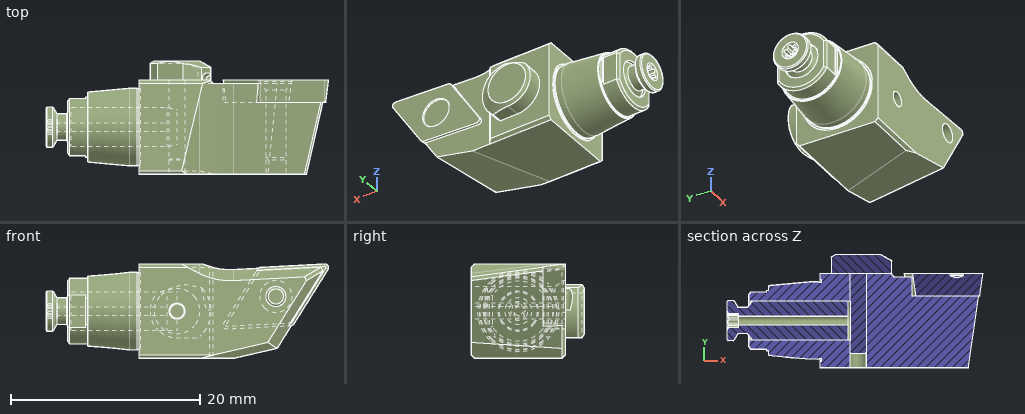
import cadquery as cq
import math


BLOCK_SIZE = 10.0
BLOCK_LENGTH = 22.0
HALF = BLOCK_SIZE / 2
EDGE_CHAMFER = 0.37
CLEARANCE = 7.0
TRIM = 60.0

INSERT_ANGLE = 55.0
INSERT_TILT = 3.0
INSCRIBED_RADIUS = 6.35 / 2
INSERT_THICKNESS = 2.38
NOSE_RADIUS = 0.4
INSERT_X = 14.5
INSERT_Z = 1.55

RELIEF_ARC_START_X = 6.4
RELIEF_ARC_END_X = 10.0
RELIEF_END_Z = 3.2
RELIEF_ENTRY_ANGLE = 27.0

HEEL_X = 13.65
HEEL_Z = -3.31
FRONT_SLOPE = INSERT_ANGLE + INSERT_TILT
BOTTOM_SLOPE = 13.0
BOTTOM_TILT = 5.0
TIP_X = 17.6
TIP_Z = 3.47

SIDE_RELIEF_X = 7.5
SIDE_RELIEF_DEPTH = 0.37

UNDERCUT_RADIUS = 4.3
UNDERCUT_DEPTH = 0.18
ROOT_RADIUS = 4.05
ROOT_LENGTH = 0.18
CYLINDER_RADIUS = 4.12
CYLINDER_LENGTH = 0.97
CONE_END_X = -5.43
CONE_END_RADIUS = 3.72
CONE_EDGE = 0.08
COLLAR_BACK_X = -5.65
COLLAR_END_X = -7.52
COLLAR_RADIUS = 3.49
COLLAR_FLAT = 3.04
NECK_FLAT = 3.2
COLLAR_CHAMFER_X = 0.22
COLLAR_CHAMFER_R = 0.3
STUD_HOLE_RADIUS = 2.05

STUD_END_X = -9.82
STUD_RIM_END_X = -9.12
STUD_NECK_X = -8.65
STUD_HEAD_RADIUS = 2.14
STUD_NECK_RADIUS = 1.42
STUD_FLARE_X = -7.65
STUD_SHAFT_X = -7.15
STUD_EDGE = 0.13
STUD_TIP_X = 3.0
STUD_BORE_RADIUS = 0.45
SOCKET_RADIUS = 0.62
SOCKET_LOBES = 6
LOBE_RADIUS = 0.2
LOBE_START_ANGLE = 15.0
SOCKET_DEPTH = 1.2
SOCKET_MOUTH_RADIUS = 1.0
SOCKET_MOUTH_DEPTH = 0.2

PIN_X = 4.05
PIN_RADIUS = 0.85
PIN_EDGE = 0.1
END_RECESS = 1.5
CAM_HEIGHT = 2.0
CAM_RADIUS = 2.84
CAM_LOBE_RADIUS = 3.59
CAM_TOP_RADIUS = 2.4
CAM_CHAMFER_ANGLE = 30.0
CAM_FLAT_START_ANGLE = 137.0
CAM_RIDGE = (0.65, 2.84)
CAM_FLAT_END_ANGLE = 44.0
SCOOP_RADIUS = 1.0
SCOOP_FLOOR_RADIUS = 0.5
SCOOP_TOP_Z = 2.4
SCOOP_FLOOR_Z = 0.1

SCREW_RADIUS = 1.06
SCREW_EDGE = 0.26
SCREW_HEAD_RADIUS = 1.7
SCREW_HEAD_LENGTH = 0.9
SCREW_HEAD_SINK = 0.2


def cosd(angle):
    return math.cos(math.radians(angle))


def sind(angle):
    return math.sin(math.radians(angle))


def tand(angle):
    return math.tan(math.radians(angle))


def turned_on_x(points):
    """Solid of revolution about X from (x, radius) points that start and end on the axis."""
    return cq.Workplane("XY").polyline(points).close().revolve(360, (0, 0, 0), (1, 0, 0))


def turned_on_y(points, x, z):
    """Solid of revolution about a line parallel to Y from (radius, y) points."""
    return (
        cq.Workplane("XY")
        .polyline(points)
        .close()
        .revolve(360, (0, 0, 0), (0, 1, 0))
        .translate((x, 0, z))
    )


def trim_solid(x, z, slope, outward, tilt):
    """Solid outside a plane through (x, -HALF, z).

    In XZ the plane rises at the slope angle and its outer side lies outward degrees from
    that direction; it leans out by the tilt angle towards +Y.
    """
    side = slope + outward
    normal = (cosd(side) * cosd(tilt), -sind(tilt), sind(side) * cosd(tilt))
    along = (cosd(slope), 0, sind(slope))
    plane = cq.Plane(origin=(x, -HALF, z), xDir=along, normal=normal)
    return cq.Workplane(plane).box(TRIM, TRIM, TRIM, centered=(True, True, False))


def top_relief():
    """Ramp, concave arc and rising flat, swept parallel to Y but climbing at the clearance angle."""
    radius = (RELIEF_ARC_END_X - RELIEF_ARC_START_X) / (sind(RELIEF_ENTRY_ANGLE) + sind(INSERT_TILT))
    center_x = RELIEF_ARC_START_X + radius * sind(RELIEF_ENTRY_ANGLE)
    center_z = RELIEF_END_Z + radius * cosd(INSERT_TILT)
    start_z = center_z - radius * cosd(RELIEF_ENTRY_ANGLE)
    reach = BLOCK_SIZE
    plane = cq.Plane(
        origin=(0, -HALF, 0), xDir=(1, 0, 0), normal=(0, -cosd(CLEARANCE), -sind(CLEARANCE))
    )
    ramp_top = (RELIEF_ARC_START_X - reach, start_z + reach * tand(RELIEF_ENTRY_ANGLE))
    end_x = BLOCK_LENGTH + reach
    end_z = RELIEF_END_Z + (end_x - RELIEF_ARC_END_X) * tand(INSERT_TILT)
    return (
        cq.Workplane(plane)
        .moveTo(*ramp_top)
        .lineTo(RELIEF_ARC_START_X, start_z)
        .threePointArc((center_x, center_z - radius), (RELIEF_ARC_END_X, RELIEF_END_Z))
        .lineTo(end_x, end_z)
        .lineTo(end_x, ramp_top[1] + reach)
        .lineTo(ramp_top[0], ramp_top[1] + reach)
        .close()
        .extrude(TRIM / 2, both=True)
    )


def side_relief():
    """Shallow step off the +Y face around the insert, with a 45 degree start."""
    return (
        cq.Workplane("XY")
        .moveTo(SIDE_RELIEF_X, HALF)
        .lineTo(SIDE_RELIEF_X + SIDE_RELIEF_DEPTH, HALF - SIDE_RELIEF_DEPTH)
        .lineTo(BLOCK_LENGTH, HALF - SIDE_RELIEF_DEPTH)
        .lineTo(BLOCK_LENGTH, HALF)
        .close()
        .extrude(BLOCK_SIZE, both=True)
    )


def insert_prism(taper):
    """Rounded rhombus at the +Y face, extruded down to the insert's seat."""
    half_long = INSCRIBED_RADIUS / sind(INSERT_ANGLE / 2)
    half_short = INSCRIBED_RADIUS / cosd(INSERT_ANGLE / 2)
    corners = [(half_long, 0), (0, half_short), (-half_long, 0), (0, -half_short)]
    blank = cq.Workplane("XY").polyline(corners).close().extrude(INSERT_THICKNESS)
    outline = blank.edges("|Z").fillet(NOSE_RADIUS).faces("<Z").wires().val()
    axis = INSERT_TILT + INSERT_ANGLE / 2
    plane = cq.Plane(
        origin=(INSERT_X, HALF, INSERT_Z), xDir=(cosd(axis), 0, sind(axis)), normal=(0, -1, 0)
    )
    return (
        cq.Workplane(plane)
        .add(outline.moved(plane.location))
        .toPending()
        .extrude(INSERT_THICKNESS, taper=taper)
    )


def insert_blank():
    return insert_prism(CLEARANCE)


def insert_pocket():
    """Straight-walled pocket, touching the insert at its seat and its upper rim only."""
    return insert_prism(0)


def make_screw():
    end_y = -HALF + END_RECESS
    head_y = HALF - SCREW_HEAD_SINK
    outline = [
        (0, end_y),
        (SCREW_RADIUS - SCREW_EDGE, end_y),
        (SCREW_RADIUS, end_y + SCREW_EDGE),
        (SCREW_RADIUS, head_y - SCREW_HEAD_LENGTH),
        (SCREW_HEAD_RADIUS, head_y),
        (0, head_y),
    ]
    return turned_on_y(outline, INSERT_X, INSERT_Z)


def make_insert():
    """Insert with a countersunk hole that fits the screw."""
    head_y = HALF - SCREW_HEAD_SINK
    hole = [
        (0, 0),
        (SCREW_RADIUS, 0),
        (SCREW_RADIUS, head_y - SCREW_HEAD_LENGTH),
        (SCREW_HEAD_RADIUS, head_y),
        (SCREW_HEAD_RADIUS, HALF),
        (0, HALF),
    ]
    return insert_blank().cut(turned_on_y(hole, INSERT_X, INSERT_Z))


def make_pin():
    end_y = -HALF + END_RECESS
    outline = [
        (0, end_y),
        (PIN_RADIUS - PIN_EDGE, end_y),
        (PIN_RADIUS, end_y + PIN_EDGE),
        (PIN_RADIUS, HALF),
        (0, HALF),
    ]
    return turned_on_y(outline, PIN_X, 0)


def make_cam():
    """Clamping cam on the +Y face: round at -X, with two flats on top and a larger lobe at +X."""
    lobe_x = math.sqrt(CAM_LOBE_RADIUS**2 - CAM_RADIUS**2)
    flat_start = (CAM_RADIUS * cosd(CAM_FLAT_START_ANGLE), CAM_RADIUS * sind(CAM_FLAT_START_ANGLE))
    flat_end = (CAM_LOBE_RADIUS * cosd(CAM_FLAT_END_ANGLE), CAM_LOBE_RADIUS * sind(CAM_FLAT_END_ANGLE))
    body = (
        cq.Workplane("XZ", origin=(PIN_X, HALF, 0))
        .moveTo(0, -CAM_RADIUS)
        .lineTo(lobe_x, -CAM_RADIUS)
        .threePointArc((CAM_LOBE_RADIUS, 0), flat_end)
        .lineTo(*CAM_RIDGE)
        .lineTo(*flat_start)
        .threePointArc((-CAM_RADIUS, 0), (0, -CAM_RADIUS))
        .close()
        .extrude(-CAM_HEIGHT)
    )
    top_y = HALF + CAM_HEIGHT
    rim_radius = CAM_TOP_RADIUS + CAM_HEIGHT / tand(CAM_CHAMFER_ANGLE)
    cone = [(0, HALF), (rim_radius, HALF), (CAM_TOP_RADIUS, top_y), (0, top_y)]
    scoop = cq.Workplane(
        cq.Solid.makeCone(
            SCOOP_FLOOR_RADIUS,
            SCOOP_RADIUS,
            SCOOP_TOP_Z - SCOOP_FLOOR_Z,
            pnt=cq.Vector(PIN_X + CAM_LOBE_RADIUS, HALF, SCOOP_FLOOR_Z),
            dir=cq.Vector(0, 0, 1),
        )
    )
    return body.intersect(turned_on_y(cone, PIN_X, 0)).cut(scoop)


def make_stud():
    """Pull stud with a mushroom head, a star socket and a through bore."""
    stud = turned_on_x([
        (STUD_END_X, 0),
        (STUD_END_X, STUD_HEAD_RADIUS - STUD_EDGE),
        (STUD_END_X + STUD_EDGE, STUD_HEAD_RADIUS),
        (STUD_RIM_END_X, STUD_HEAD_RADIUS),
        (STUD_RIM_END_X + STUD_EDGE, STUD_HEAD_RADIUS - STUD_EDGE),
        (STUD_NECK_X, STUD_NECK_RADIUS),
        (STUD_FLARE_X, STUD_NECK_RADIUS),
        (STUD_SHAFT_X, STUD_HOLE_RADIUS),
        (STUD_TIP_X, STUD_HOLE_RADIUS),
        (STUD_TIP_X, 0),
    ])
    face = cq.Workplane("YZ", origin=(STUD_END_X, 0, 0))
    socket = face.circle(SOCKET_RADIUS).extrude(SOCKET_DEPTH)
    lobes = (
        face.polarArray(SOCKET_RADIUS, LOBE_START_ANGLE, 360, SOCKET_LOBES)
        .circle(LOBE_RADIUS)
        .extrude(SOCKET_DEPTH)
    )
    mouth = turned_on_x([
        (STUD_END_X, 0),
        (STUD_END_X, SOCKET_MOUTH_RADIUS),
        (STUD_END_X + SOCKET_MOUTH_DEPTH, SOCKET_RADIUS),
        (STUD_END_X + SOCKET_MOUTH_DEPTH, 0),
    ])
    bore = face.circle(STUD_BORE_RADIUS).extrude(STUD_TIP_X - STUD_END_X)
    return stud.cut(socket).cut(lobes).cut(mouth).cut(bore)


def shank():
    """Tapered shank that ends in a collar with two wrench flats."""
    taper = turned_on_x([
        (0, 0),
        (0, ROOT_RADIUS),
        (-ROOT_LENGTH, CYLINDER_RADIUS),
        (-CYLINDER_LENGTH, CYLINDER_RADIUS),
        (CONE_END_X + CONE_EDGE, CONE_END_RADIUS),
        (CONE_END_X, CONE_END_RADIUS - CONE_EDGE),
        (CONE_END_X, 0),
    ])
    collar = turned_on_x([
        (CONE_END_X, 0),
        (CONE_END_X, COLLAR_RADIUS),
        (COLLAR_END_X + COLLAR_CHAMFER_X, COLLAR_RADIUS),
        (COLLAR_END_X, COLLAR_RADIUS - COLLAR_CHAMFER_R),
        (COLLAR_END_X, 0),
    ])
    chamfer_x = COLLAR_END_X + COLLAR_CHAMFER_X
    end_flat = COLLAR_FLAT - COLLAR_CHAMFER_R
    flats = (
        cq.Workplane("XY")
        .polyline([
            (CONE_END_X, NECK_FLAT),
            (COLLAR_BACK_X, NECK_FLAT),
            (COLLAR_BACK_X, COLLAR_FLAT),
            (chamfer_x, COLLAR_FLAT),
            (COLLAR_END_X, end_flat),
            (COLLAR_END_X, -end_flat),
            (chamfer_x, -COLLAR_FLAT),
            (COLLAR_BACK_X, -COLLAR_FLAT),
            (COLLAR_BACK_X, -NECK_FLAT),
            (CONE_END_X, -NECK_FLAT),
        ])
        .close()
        .extrude(BLOCK_SIZE, both=True)
    )
    return taper.union(collar.intersect(flats))


def make_housing():
    block = (
        cq.Workplane("XY")
        .box(BLOCK_LENGTH, BLOCK_SIZE, BLOCK_SIZE, centered=(False, True, True))
        .edges("|X")
        .chamfer(EDGE_CHAMFER)
    )
    block = block.cut(top_relief())
    block = block.cut(trim_solid(HEEL_X, HEEL_Z, FRONT_SLOPE, -90, CLEARANCE))
    block = block.cut(trim_solid(HEEL_X, HEEL_Z, BOTTOM_SLOPE, -90, BOTTOM_TILT))
    corner_axis = INSERT_TILT + INSERT_ANGLE / 2
    corner_tilt = math.degrees(math.atan(tand(CLEARANCE) / sind(INSERT_ANGLE / 2)))
    block = block.cut(trim_solid(TIP_X, TIP_Z, corner_axis - 90, 90, corner_tilt))

    block = block.cut(side_relief())
    block = block.cut(insert_pocket())

    undercut = (
        cq.Workplane("YZ")
        .circle(UNDERCUT_RADIUS)
        .circle(ROOT_RADIUS)
        .extrude(UNDERCUT_DEPTH)
    )
    housing = block.cut(undercut).union(shank())
    stud_hole = turned_on_x([
        (COLLAR_END_X, 0),
        (COLLAR_END_X, STUD_HOLE_RADIUS),
        (PIN_X, STUD_HOLE_RADIUS),
        (PIN_X, 0),
    ])
    cross_holes = (
        cq.Workplane("XZ", origin=(0, -HALF, 0))
        .moveTo(PIN_X, 0)
        .circle(PIN_RADIUS)
        .moveTo(INSERT_X, INSERT_Z)
        .circle(SCREW_RADIUS)
        .extrude(-BLOCK_SIZE)
    )
    return housing.cut(stud_hole).cut(cross_holes)


housing = make_housing()
stud = make_stud()
insert = make_insert()
screw = make_screw()
pin = make_pin()
cam = make_cam()

result = cq.Compound.makeCompound([
    housing.val(),
    stud.val(),
    insert.val(),
    screw.val(),
    pin.val(),
    cam.val(),
])